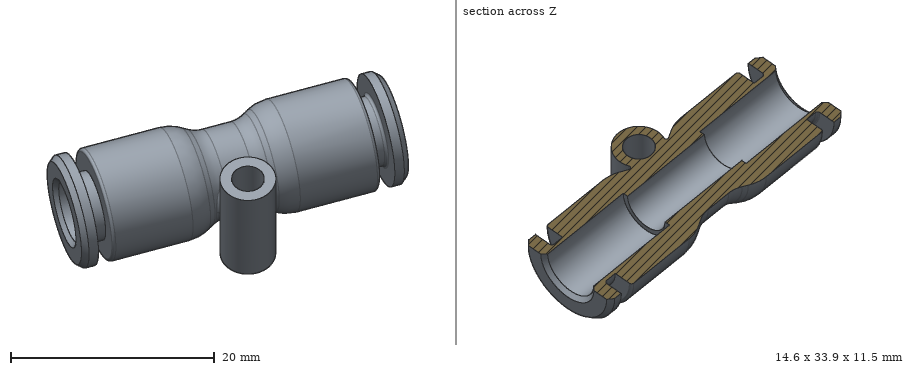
import cadquery as cq
import math

LENGTH = 33.9
WIDTH = 14.6
END_Y = LENGTH / 2
BODY_RADIUS = 11.5 / 2

SLEEVE_RADIUS = 7.1 / 2
COLLAR_FLANGE_THICKNESS = 1.6
FLANGE_CHAMFER_LENGTH = 0.6
FLANGE_CHAMFER_DEPTH = 0.5
COLLAR_ROOT_RADIUS = 0.3

COLLAR_GAP = 1.5
BODY_RIM_RADIUS = 0.3
SHOULDER_Y = 5.55
SHOULDER_RADIUS = 4.0
WAIST_HALF_LENGTH = 1.5
WAIST_RADIUS = 4.5
WAIST_BLEND_RADIUS = 3.02
TAPER_ANGLE = math.radians(30)

PASSAGE_RADIUS = 5.0 / 2
SOCKET_RADIUS = 6.15 / 2
SOCKET_FLOOR_Y = SHOULDER_Y
SOCKET_MOUTH_RADIUS = SLEEVE_RADIUS

EYELET_RADIUS = 5.5 / 2
EYELET_HOLE_RADIUS = 3.2 / 2
EYELET_X = WIDTH - BODY_RADIUS - EYELET_RADIUS
EYELET_FILLET = 0.2


def revolve_about_tube_axis(profile):
    """Full turn about Y; profiles lie at negative X so the seam stays clear of the eyelet."""
    return profile.revolve(360, (0, 0, 0), (0, 1, 0))


def both_ends(end):
    """Join the +Y end with its mirror image."""
    return end.union(end.mirror("XZ"))


def waist():
    """Plain cylinder between the two ends."""
    profile = (
        cq.Workplane("XY")
        .moveTo(0, -WAIST_HALF_LENGTH)
        .lineTo(0, WAIST_HALF_LENGTH)
        .lineTo(-WAIST_RADIUS, WAIST_HALF_LENGTH)
        .lineTo(-WAIST_RADIUS, -WAIST_HALF_LENGTH)
        .close()
    )
    return revolve_about_tube_axis(profile)


def end_shell():
    """Blend, shoulder, socket body and release collar of the +Y end, without the bore."""
    flange_y = END_Y - COLLAR_FLANGE_THICKNESS
    body_end_y = flange_y - COLLAR_GAP

    def shoulder_point(angle):
        drop = SHOULDER_RADIUS * (1 - math.cos(angle))
        return (drop - BODY_RADIUS, SHOULDER_Y - SHOULDER_RADIUS * math.sin(angle))

    def blend_point(angle):
        rise = WAIST_BLEND_RADIUS * (1 - math.cos(angle))
        return (-WAIST_RADIUS - rise, WAIST_HALF_LENGTH + WAIST_BLEND_RADIUS * math.sin(angle))

    profile = (
        cq.Workplane("XY")
        .moveTo(0, WAIST_HALF_LENGTH)
        .lineTo(0, END_Y)
        .lineTo(FLANGE_CHAMFER_DEPTH - BODY_RADIUS, END_Y)
        .lineTo(-BODY_RADIUS, END_Y - FLANGE_CHAMFER_LENGTH)
        .lineTo(-BODY_RADIUS, flange_y)
        .lineTo(-SLEEVE_RADIUS - COLLAR_ROOT_RADIUS, flange_y)
        .radiusArc((-SLEEVE_RADIUS, flange_y - COLLAR_ROOT_RADIUS), COLLAR_ROOT_RADIUS)
        .lineTo(-SLEEVE_RADIUS, body_end_y)
        .lineTo(BODY_RIM_RADIUS - BODY_RADIUS, body_end_y)
        .radiusArc((-BODY_RADIUS, body_end_y - BODY_RIM_RADIUS), -BODY_RIM_RADIUS)
        .lineTo(-BODY_RADIUS, SHOULDER_Y)
        .threePointArc(shoulder_point(TAPER_ANGLE / 2), shoulder_point(TAPER_ANGLE))
        .lineTo(*blend_point(TAPER_ANGLE))
        .threePointArc(blend_point(TAPER_ANGLE / 2), blend_point(0))
        .close()
    )
    return revolve_about_tube_axis(profile)


def tube_socket():
    """Cutter for the socket and its flared mouth at the +Y end."""
    flare = SOCKET_MOUTH_RADIUS - SOCKET_RADIUS
    profile = (
        cq.Workplane("XY")
        .moveTo(0, SOCKET_FLOOR_Y)
        .lineTo(-SOCKET_RADIUS, SOCKET_FLOOR_Y)
        .lineTo(-SOCKET_RADIUS, END_Y - flare)
        .lineTo(-SOCKET_MOUTH_RADIUS, END_Y)
        .lineTo(0, END_Y)
        .close()
    )
    return revolve_about_tube_axis(profile)


def passage():
    """Cutter for the through passage."""
    return cq.Workplane("XZ").circle(PASSAGE_RADIUS).extrude(END_Y, both=True)


def eyelet_cylinder(radius):
    """Vertical cylinder on the eyelet axis, as tall as the body."""
    return (
        cq.Workplane("XY")
        .center(EYELET_X, 0)
        .circle(radius)
        .extrude(BODY_RADIUS, both=True)
        .clean()
    )


def fillet_eyelet_junction(part):
    """Round the closed loop of edges where the eyelet wall runs into the waist."""
    junction = part.edges("%BSPLINE")
    return junction.fillet(EYELET_FILLET)


body = waist().union(both_ends(end_shell()))
joined = body.union(eyelet_cylinder(EYELET_RADIUS))
rounded = fillet_eyelet_junction(joined)
bored = rounded.cut(passage()).cut(both_ends(tube_socket()))
result = bored.cut(eyelet_cylinder(EYELET_HOLE_RADIUS))